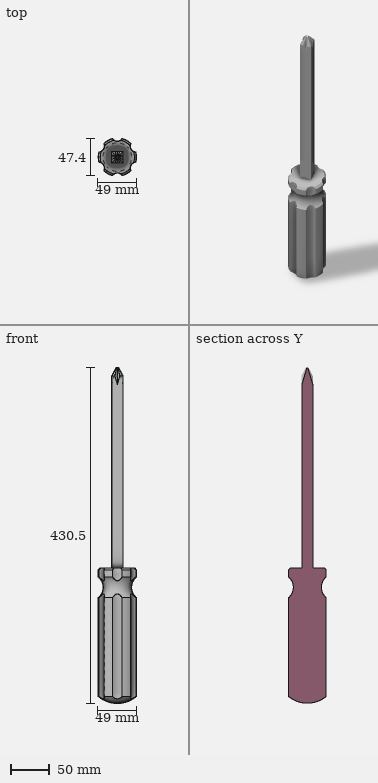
import cadquery as cq
import math

total_height = 430.5

handle_radius = 49.0 / 2
handle_top = 174.0
dome_height = 9.0
head_chamfer = 2.5

neck_radius = 36.5 / 2
grip_top = 135.5
head_bottom = 162.5

flute_count = 6
flute_width = 12.5
flute_floor_radius = 41.0 / 2

shank_width = 14.5
tip_flat_width = 3.5
tip_taper_height = 10.8
tip_groove_length = 21.5
tip_groove_depth = 6.5


def make_handle_body():
    """Revolve the handle: domed end, straight grip, waisted neck, chamfered head."""
    dome_radius = (handle_radius**2 + dome_height**2) / (2 * dome_height)
    half_angle = math.asin(handle_radius / dome_radius) / 2
    dome_middle = (dome_radius * math.sin(half_angle), dome_radius * (1 - math.cos(half_angle)))
    neck_middle = (grip_top + head_bottom) / 2

    return (
        cq.Workplane("XZ")
        .moveTo(0, 0)
        .threePointArc(dome_middle, (handle_radius, dome_height))
        .lineTo(handle_radius, grip_top)
        .threePointArc((neck_radius, neck_middle), (handle_radius, head_bottom))
        .lineTo(handle_radius, handle_top - head_chamfer)
        .lineTo(handle_radius - head_chamfer, handle_top)
        .lineTo(0, handle_top)
        .close()
        .revolve(360, (0, 0), (0, 1))
    )


def cut_flutes(body):
    """Cut round flutes along the full handle, the first one facing +Y."""
    flute_half_width = flute_width / 2
    edge_distance = math.sqrt(handle_radius**2 - flute_half_width**2)
    flute_depth = edge_distance - flute_floor_radius
    flute_radius = (flute_half_width**2 + flute_depth**2) / (2 * flute_depth)
    flutes = (
        cq.Workplane("XY")
        .polarArray(flute_floor_radius + flute_radius, 90, 360, flute_count)
        .circle(flute_radius)
        .extrude(handle_top)
    )
    return body.cut(flutes)


def make_shank():
    """Square shank that tapers to a small flat at the tip."""
    taper_start = total_height - tip_taper_height
    shaft = (
        cq.Workplane("XY")
        .workplane(offset=handle_top)
        .rect(shank_width, shank_width)
        .extrude(taper_start - handle_top)
    )
    taper = (
        cq.Workplane("XY")
        .workplane(offset=taper_start)
        .rect(shank_width, shank_width)
        .workplane(offset=tip_taper_height)
        .rect(tip_flat_width, tip_flat_width)
        .loft(ruled=True)
    )
    return shaft.union(taper)


def cut_tip_grooves(shank):
    """Cut a right-angled V groove into each face, deepening toward the tip."""
    half_width = shank_width / 2
    slope_angle = math.degrees(math.atan2(tip_groove_depth, tip_groove_length))
    cutter_length = 2 * tip_groove_length
    groove = (
        cq.Workplane("XY")
        .polyline([(0, 0), (shank_width, shank_width), (-shank_width, shank_width)])
        .close()
        .extrude(cutter_length)
        .rotate((0, 0, 0), (1, 0, 0), slope_angle)
        .translate((0, half_width, total_height - tip_groove_length))
    )
    for face in range(4):
        shank = shank.cut(groove.rotate((0, 0, 0), (0, 0, 1), face * 90))
    return shank


result = cut_flutes(make_handle_body()).union(cut_tip_grooves(make_shank()))